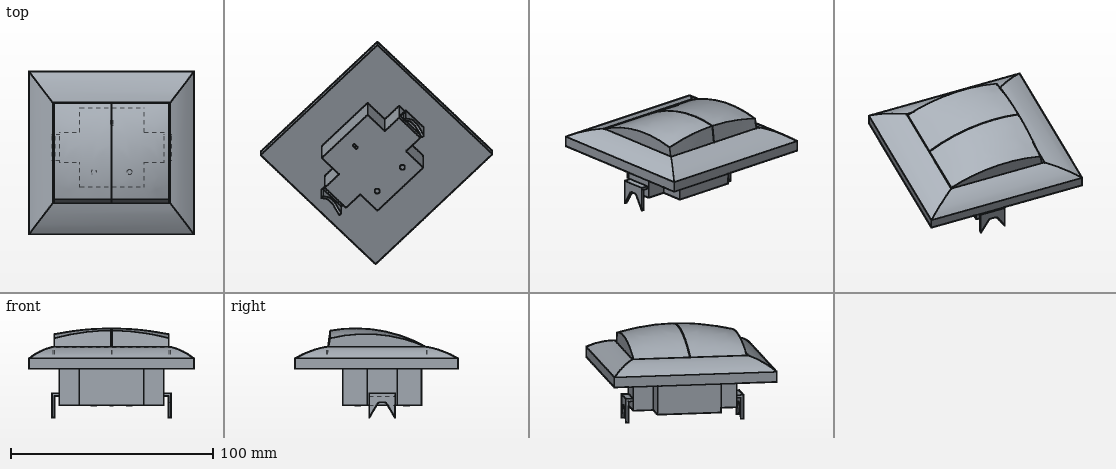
import cadquery as cq

FRAME_LENGTH = 81.5
FRAME_WIDTH = 80.5
RIM_HEIGHT = 5.1
FRAME_HEIGHT = 10.9
FRAME_BULGE = 0.7

WINDOW_LENGTH = 58.2
WINDOW_WIDTH = 49.9
WINDOW_FLOOR = RIM_HEIGHT

ROCKER_LENGTH = 56.7
ROCKER_GAP = 0.3
ROCKER_FRONT_FOOT = -24.8
ROCKER_FRONT_TOP = -22.9
ROCKER_BACK = 24.5
BACK_EDGE_HEIGHT = 10.75
CENTER_FRONT_HEIGHT = 18.9
CENTER_CROWN_Y = -11.0
CENTER_CROWN_HEIGHT = 20.05
SIDE_FRONT_HEIGHT = 15.1
SIDE_CROWN_Y = -4.4
SIDE_CROWN_HEIGHT = 17.2

HOUSING_Y = 2.8
HOUSING_LENGTH = 51.8
HOUSING_WIDTH = 38.95
HOUSING_DEPTH = 18.0
HOUSING_MIDDLE_LENGTH = 31.95
HOUSING_MIDDLE_WIDTH = 14.8

TERMINAL_DIAMETER = 2.5
SLUG_WIDTH = 1.15
TERMINAL_HEIGHT = 0.3
TERMINAL_X = 8.8
TERMINAL_OFFSET_Y = 12.1

CLAW_REACH = 29.5
CLAW_WIDTH = 12.8
CLAW_THICKNESS = 1.4
CLAW_TOP = -12.1
CLAW_TIP = -24.1
TIP_WIDTH = 0.1
NOTCH_TOP = -16.6
NOTCH_TOP_WIDTH = 3.75
NOTCH_FILLET = 1.0


def domed_slab(plane, outer, inner, depth):
    """Rim with two convex slopes rising to a flat top, extruded evenly about the plane."""
    half_outer = outer / 2
    half_inner = inner / 2
    return (
        cq.Workplane(plane)
        .moveTo(-half_outer, 0)
        .lineTo(half_outer, 0)
        .lineTo(half_outer, RIM_HEIGHT)
        .sagittaArc((half_inner, FRAME_HEIGHT), -FRAME_BULGE)
        .lineTo(-half_inner, FRAME_HEIGHT)
        .sagittaArc((-half_outer, RIM_HEIGHT), -FRAME_BULGE)
        .close()
        .extrude(depth / 2, both=True)
    )


def make_frame():
    along_x = domed_slab("XZ", FRAME_LENGTH, WINDOW_LENGTH, FRAME_WIDTH)
    along_y = domed_slab("YZ", FRAME_WIDTH, WINDOW_WIDTH, FRAME_LENGTH)
    window = (
        cq.Workplane("XY", origin=(0, 0, WINDOW_FLOOR))
        .rect(WINDOW_LENGTH, WINDOW_WIDTH)
        .extrude(FRAME_HEIGHT - WINDOW_FLOOR)
    )
    return along_x.intersect(along_y).cut(window)


def rocker_section(x, front_height, crown_y, crown_height):
    """Closed outline of the rockers in the plane at the given x."""
    section = (
        cq.Workplane("YZ", origin=(x, 0, 0))
        .moveTo(ROCKER_BACK, WINDOW_FLOOR)
        .lineTo(ROCKER_FRONT_FOOT, WINDOW_FLOOR)
        .lineTo(ROCKER_FRONT_TOP, front_height)
        .threePointArc((crown_y, crown_height), (ROCKER_BACK, BACK_EDGE_HEIGHT))
        .close()
    )
    return section.val()


def make_rockers():
    half_length = ROCKER_LENGTH / 2
    sections = [
        rocker_section(-half_length, SIDE_FRONT_HEIGHT, SIDE_CROWN_Y, SIDE_CROWN_HEIGHT),
        rocker_section(0, CENTER_FRONT_HEIGHT, CENTER_CROWN_Y, CENTER_CROWN_HEIGHT),
        rocker_section(half_length, SIDE_FRONT_HEIGHT, SIDE_CROWN_Y, SIDE_CROWN_HEIGHT),
    ]
    dome = cq.Workplane(cq.Solid.makeLoft(sections))
    gap = (
        cq.Workplane("XY", origin=(0, 0, WINDOW_FLOOR))
        .rect(ROCKER_GAP, FRAME_WIDTH)
        .extrude(CENTER_CROWN_HEIGHT)
    )
    return dome.cut(gap)


def make_housing():
    base = cq.Workplane("XY", origin=(0, HOUSING_Y, 0))
    long_block = base.rect(HOUSING_LENGTH, HOUSING_MIDDLE_WIDTH).extrude(-HOUSING_DEPTH)
    wide_block = base.rect(HOUSING_MIDDLE_LENGTH, HOUSING_WIDTH).extrude(-HOUSING_DEPTH)
    return long_block.union(wide_block)


def make_terminals():
    underside = cq.Workplane("XY", origin=(0, HOUSING_Y, -HOUSING_DEPTH))
    heads = (
        underside.pushPoints([(-TERMINAL_X, -TERMINAL_OFFSET_Y), (TERMINAL_X, -TERMINAL_OFFSET_Y)])
        .circle(TERMINAL_DIAMETER / 2)
        .extrude(-TERMINAL_HEIGHT)
    )
    slug = (
        underside.center(0, TERMINAL_OFFSET_Y)
        .rect(SLUG_WIDTH, TERMINAL_DIAMETER)
        .extrude(-TERMINAL_HEIGHT)
    )
    return heads.union(slug)


def make_claw():
    """Claw on the +X end: a short arm turning down into a two-pointed blade."""
    root = HOUSING_LENGTH / 2
    blade_inside = CLAW_REACH - CLAW_THICKNESS
    claw = (
        cq.Workplane("XZ", origin=(0, HOUSING_Y, 0))
        .moveTo(root, CLAW_TOP)
        .lineTo(CLAW_REACH, CLAW_TOP)
        .lineTo(CLAW_REACH, CLAW_TIP)
        .lineTo(blade_inside, CLAW_TIP)
        .lineTo(blade_inside, CLAW_TOP - CLAW_THICKNESS)
        .lineTo(root, CLAW_TOP - CLAW_THICKNESS)
        .close()
        .extrude(CLAW_WIDTH / 2, both=True)
    )
    notch_mouth = CLAW_WIDTH / 2 - TIP_WIDTH
    notch_top = NOTCH_TOP_WIDTH / 2
    notch = (
        cq.Workplane("YZ", origin=(blade_inside, HOUSING_Y, 0))
        .moveTo(-notch_mouth, CLAW_TIP)
        .lineTo(-notch_top, NOTCH_TOP)
        .lineTo(notch_top, NOTCH_TOP)
        .lineTo(notch_mouth, CLAW_TIP)
        .close()
        .extrude(CLAW_THICKNESS)
        .edges("|X and >Z")
        .fillet(NOTCH_FILLET)
    )
    return claw.cut(notch)


right_claw = make_claw()
left_claw = right_claw.mirror("YZ")

result = (
    make_frame()
    .union(make_rockers())
    .union(make_housing())
    .union(make_terminals())
    .union(right_claw)
    .union(left_claw)
)